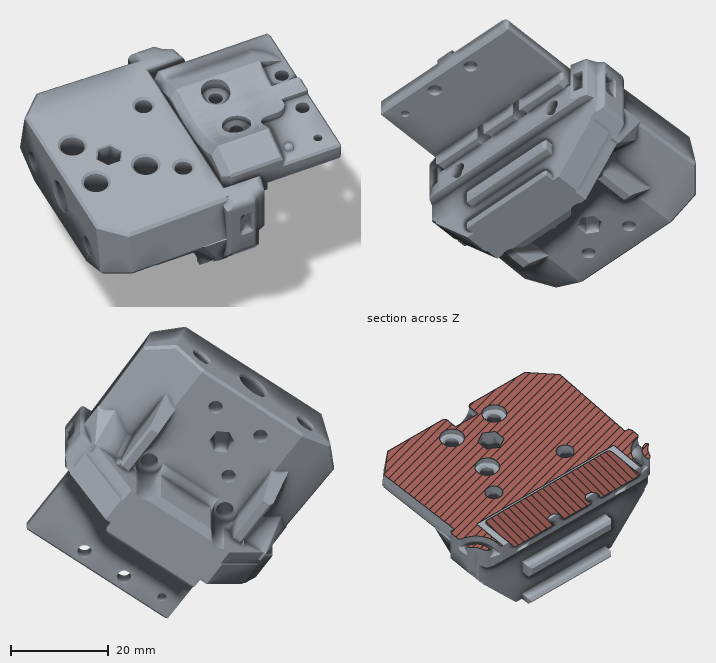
import cadquery as cq

WIDTH = 48.05
HALF_WIDTH = WIDTH / 2
LENGTH = 55.25
HOUSING_TOP = 27.9
EDGE_BREAK = 0.55

BLOCK_BOTTOM = 12.55
BLOCK_REAR = 27.6
BLOCK_TOP_HALF_WIDTH = 22.05
BLOCK_FLARE = 0.2
BLOCK_REAR_NARROWING = 0.65
BLOCK_CORNER = 5.1
KEEL_HALF_WIDTH = 12.55
KNEE_HEIGHT = 18.0

PLATE_FRONT = 25.7
PLATE_REAR = 34.2
PLATE_FOOT_HALF_WIDTH = 12.25
PLATE_WAIST_HEIGHT = 13.9
PLATE_WAIST_RADIUS = 1.95
SHOULDER_FRONT = 26.5
SHOULDER_BOTTOM = 11.25
SHOULDER_BEVEL_HEIGHT = 1.3
SHOULDER_BEVEL_LENGTH = 1.75
SHOULDER_CORNER_LENGTH = 0.8
SHOULDER_CORNER_WIDTH = 0.35
SHOULDER_ROUND = 1.3
SHOULDER_SIDE_REAR = 32.6
SHOULDER_MIDDLE = (22.75, 33.7)
SHOULDER_TIP = (21.75, 35.85)
FLANGE_REAR = 36.75
FLANGE_BOTTOM = 16.4

SIDE_PAD_FRONT = 28.7
SIDE_PAD_THICKNESS = 0.4
SIDE_PAD_HEIGHT = 10.7

BRACE_BOTTOM = 10.2
BRACE_TOP = 18.35
BRACE_TOP_HALF_WIDTH = 23.65
BRACE_BOTTOM_HALF_WIDTH = 21.45
BRACE_FACET = (
    cq.Vector(23.65, 21.45, 18.35),
    cq.Vector(21.0, 19.7, 16.4),
    cq.Vector(21.45, 25.7, 10.2),
)

GUSSET_BOTTOM = 7.45
GUSSET_OUTER = 15.35
GUSSET_TOP_INNER = 11.45
GUSSET_BOTTOM_INNER = 13.15
GUSSET_TIP = 15.0
GUSSET_TOP_FRONT = 7.75
GUSSET_ROOT_BEVEL = 0.85
GUSSET_TOP = 15.45

CENTRE_PAD_FRONT = 23.75
CENTRE_PAD_FOOT = 0.85
CENTRE_PAD_TOP_BEVEL = 1.65

STUB_HALF_WIDTH = 11.05
STUB_HEIGHTS = ((0, 1.45), (7.7, 10.45))

SLOT_HALF_WIDTH = 18.25
SLOT_FRONT = 28.35
SLOT_FLOOR = 21.1
SLOT_BEVEL = 0.35

REAR_SCREW_X = 9.5
REAR_SCREW_Y = 23.3
REAR_SCREW_DIAMETER = 3.6
REAR_SCREW_HEAD_DIAMETER = 5.6
COUNTERBORE_PLACES = ((5.65, 16.6), (-5.65, 5.4), (5.65, 5.4))
COUNTERBORE_FLOOR = 19.9
COUNTERBORE_DIAMETER = 5.0
COUNTERBORE_SCREW_DIAMETER = 2.95
SCREW_BEVEL = 0.35
HEXAGON_Y = 11.05
HEXAGON_DIAMETER = 5.35
HEXAGON_BEVEL = 0.35
FRONT_HOLE_X = 13.05
FRONT_HOLE_Z = 18.25
FRONT_HOLE_DIAMETER = 3.4
FRONT_SOCKET_Z = 20.45
FRONT_SOCKET_DIAMETER = 6.1
FRONT_SOCKET_DEPTH = 3.3
COUNTERSINK_DEPTH = 0.5

STRAP_CENTRE_X = 24.3
STRAP_CENTRE_Y = 35.35
STRAP_OUTER_RADIUS = 5.65
STRAP_INNER_RADIUS = 3.4
STRAP_BOTTOM = 18.9
STRAP_TOP = 24.0
STRAP_MOUTH_BEVEL = 0.45
STRAP_MOUTH_RADIUS = 0.85

SLIDER_HALF_WIDTH = 17.75
SLIDER_FRONT = 28.7
SLIDER_BOTTOM = 24.1
SLIDER_TOP = 32.3
SLIDER_BEVEL = 1.55
SLIDER_EDGE_BREAK = 0.45
SLIDER_SIDE_ROUND_HEIGHT = 1.4
SLIDER_SIDE_ROUND_WIDTH = 1.8
SLIDER_SIDE_RADIUS = 1.65
TONGUE_REAR = 38.65
TONGUE_BEVEL = 1.0
PAD_HEIGHT = 27.8
RAMP_FOOT_X = -14.85
RAMP_START_X = -13.75
RAMP_START_HEIGHT = 28.0
RIDGE_HEIGHT = 30.25
RIDGE_LEFT_X = -8.55
RIDGE_RIGHT_X = -6.75
RAMP_END_CENTRE_X = -7.2
RAMP_END_CENTRE_Y = 46.7
RAMP_END_RADIUS = 7.8
RAMP_END_RISE = 3.35
BOWL_BOTTOM_X = 0.55
BOWL_HEIGHT = 28.9
HUMP_LEFT_X = 11.05
HUMP_RIGHT_X = 11.75
HUMP_REAR = 42.0
HUMP_EDGE_HEIGHT = 29.85
STRIP_LEFT_X = -2.1
STRIP_RIGHT_X = 1.95
PAD_FRONT = 49.0
PAD_FRONT_LENGTH = 0.85
PAD_OUTER_RADIUS = 2.8
PAD_INNER_RADIUS = 1.9
SLIDER_SCREW_X = 4.95
SLIDER_SCREW_DIAMETER = 2.95
SLIDER_REAR_SCREW_Y = 52.35
SLIDER_FRONT_SCREW_Y = 37.45
SLIDER_HEAD_DIAMETER = 6.0
SLIDER_HEAD_FLOOR = 27.75
PIN_HOLE_DIAMETER = 1.8
PIN_HOLE_X = 13.9
PIN_HOLE_Y = 51.6
BUMP_RADIUS = 1.05
BUMP_Y = 45.0


def box(x0, x1, y0, y1, z0, z1):
    """Axis-aligned box between two opposite corners."""
    return cq.Workplane("XY").box(x1 - x0, y1 - y0, z1 - z0, centered=False).translate((x0, y0, z0))


def side_prism(points, x0, x1):
    """Prism with a (Y, Z) outline that runs from x0 to x1."""
    return cq.Workplane("YZ", origin=(x0, 0, 0)).polyline(points).close().extrude(x1 - x0)


def front_prism(points, y0, y1):
    """Prism with an (X, Z) outline that runs from y0 to y1."""
    return cq.Workplane("XZ", origin=(0, y1, 0)).polyline(points).close().extrude(y1 - y0)


def both_sides(right_half):
    """Outline closed by mirroring its +X half."""
    return right_half + [(-x, v) for x, v in reversed(right_half)]


def mirrored(shape):
    """The shape and its copy mirrored about X = 0."""
    return shape.union(shape.mirror("YZ"))


def bore(x, y, bottom, top, diameter, mouth_depth=0):
    """Upright hole, with a 45 degree countersink of the given depth at its top."""
    hole = cq.Workplane("XY", origin=(x, y, bottom)).circle(diameter / 2).extrude(top - bottom)
    if mouth_depth:
        radius = diameter / 2
        start = cq.Vector(x, y, top - mouth_depth)
        cone = cq.Solid.makeCone(radius, radius + mouth_depth, mouth_depth, pnt=start)
        hole = hole.union(cq.Workplane(cone))
    return hole


def front_bore(x, z, diameter, depth):
    """Hole into the front face, with a 45 degree countersink at its mouth."""
    hole = cq.Workplane("XZ", origin=(x, 0, z)).circle(diameter / 2).extrude(-depth)
    radius = diameter / 2
    cone = cq.Solid.makeCone(
        radius + COUNTERSINK_DEPTH, radius, COUNTERSINK_DEPTH, pnt=cq.Vector(x, 0, z), dir=cq.Vector(0, 1, 0)
    )
    return hole.union(cq.Workplane(cone))


def block_plan(z):
    """Outline of the flared block at height z."""
    half_width = BLOCK_TOP_HALF_WIDTH + BLOCK_FLARE * (HOUSING_TOP - z)
    return both_sides([
        (half_width - BLOCK_CORNER, 0),
        (half_width, BLOCK_CORNER),
        (half_width - BLOCK_REAR_NARROWING, BLOCK_REAR),
    ])


def front_block():
    flared = (
        cq.Workplane("XY", origin=(0, 0, BLOCK_BOTTOM)).polyline(block_plan(BLOCK_BOTTOM)).close()
        .workplane(offset=HOUSING_TOP - BLOCK_BOTTOM).polyline(block_plan(HOUSING_TOP)).close()
        .loft(ruled=True)
    )
    slope = (KNEE_HEIGHT - BLOCK_BOTTOM) / (HALF_WIDTH - KEEL_HALF_WIDTH)
    reach = WIDTH
    profile = both_sides([
        (KEEL_HALF_WIDTH, BLOCK_BOTTOM),
        (reach, BLOCK_BOTTOM + slope * (reach - KEEL_HALF_WIDTH)),
        (reach, HOUSING_TOP),
    ])
    block = flared.intersect(front_prism(profile, 0, BLOCK_REAR))
    block = block.faces(">Z").edges("not >Y").chamfer(EDGE_BREAK)
    lower_rim = block.edges("not (|Y or >Y)").filter(lambda edge: edge.Center().z < KNEE_HEIGHT)
    return lower_rim.chamfer(EDGE_BREAK)


def plate_foot_edge(z):
    """Half width of the plate's sloping side at height z."""
    run = HALF_WIDTH - PLATE_FOOT_HALF_WIDTH
    return PLATE_FOOT_HALF_WIDTH + run * z / PLATE_WAIST_HEIGHT


def rear_plate():
    profile = both_sides([
        (PLATE_FOOT_HALF_WIDTH, 0),
        (HALF_WIDTH, PLATE_WAIST_HEIGHT),
        (HALF_WIDTH, HOUSING_TOP),
    ])
    silhouette = front_prism(profile, PLATE_FRONT, FLANGE_REAR)
    for x in (-HALF_WIDTH, HALF_WIDTH):
        waist = cq.selectors.NearestToPointSelector((x, PLATE_REAR, PLATE_WAIST_HEIGHT))
        silhouette = silhouette.edges(waist).fillet(PLATE_WAIST_RADIUS)
    plan = both_sides([
        (HALF_WIDTH - SHOULDER_CORNER_WIDTH, PLATE_FRONT),
        (HALF_WIDTH - SHOULDER_CORNER_WIDTH, SHOULDER_FRONT),
        (HALF_WIDTH, SHOULDER_FRONT + SHOULDER_CORNER_LENGTH),
        (HALF_WIDTH, SHOULDER_SIDE_REAR),
        SHOULDER_MIDDLE,
        SHOULDER_TIP,
        (SLOT_HALF_WIDTH, FLANGE_REAR),
    ])

    def is_rear_corner(edge):
        return SLOT_FRONT < edge.Center().y < FLANGE_REAR - EDGE_BREAK

    def is_behind_bevel(edge):
        return edge.Center().y > SLOT_FRONT

    outline = cq.Workplane("XY").polyline(plan).close().extrude(HOUSING_TOP)
    outline = outline.edges("|Z").filter(is_rear_corner).fillet(EDGE_BREAK)
    outline = outline.faces(">Z").edges().filter(is_behind_bevel).fillet(SHOULDER_ROUND)
    side = [
        (PLATE_FRONT, 0), (PLATE_REAR, 0), (PLATE_REAR, FLANGE_BOTTOM),
        (FLANGE_REAR - EDGE_BREAK, FLANGE_BOTTOM), (FLANGE_REAR, FLANGE_BOTTOM + EDGE_BREAK),
        (FLANGE_REAR, HOUSING_TOP),
        (SHOULDER_FRONT + SHOULDER_BEVEL_LENGTH, HOUSING_TOP),
        (SHOULDER_FRONT, HOUSING_TOP - SHOULDER_BEVEL_HEIGHT),
        (SHOULDER_FRONT, SHOULDER_BOTTOM), (PLATE_FRONT, SHOULDER_BOTTOM),
    ]
    return silhouette.intersect(outline).intersect(side_prism(side, -HALF_WIDTH, HALF_WIDTH))


def top_deck():
    """Fills the bevel of the shoulders where the block meets the plate."""
    half_width = BLOCK_TOP_HALF_WIDTH - BLOCK_REAR_NARROWING - EDGE_BREAK
    return box(-half_width, half_width, SHOULDER_FRONT, SLOT_FRONT, SLOT_FLOOR, HOUSING_TOP)


def side_pads():
    profile = [
        (PLATE_FOOT_HALF_WIDTH, 0),
        (PLATE_FOOT_HALF_WIDTH + SIDE_PAD_THICKNESS, 0),
        (plate_foot_edge(SIDE_PAD_HEIGHT) + SIDE_PAD_THICKNESS, SIDE_PAD_HEIGHT),
        (plate_foot_edge(SIDE_PAD_HEIGHT), SIDE_PAD_HEIGHT),
    ]
    return mirrored(front_prism(profile, SIDE_PAD_FRONT, PLATE_REAR))


def underside_brace():
    """45 degree brace whose ends are cut by a flat facet."""
    drop = BRACE_TOP - BRACE_BOTTOM
    side = [
        (PLATE_FRONT - drop, BRACE_TOP), (PLATE_FRONT, BRACE_BOTTOM),
        (BLOCK_REAR, BRACE_BOTTOM), (BLOCK_REAR, BRACE_TOP),
    ]
    profile = [
        (0, BRACE_BOTTOM), (BRACE_BOTTOM_HALF_WIDTH, BRACE_BOTTOM),
        (BRACE_TOP_HALF_WIDTH, BRACE_TOP), (0, BRACE_TOP),
    ]
    half = side_prism(side, 0, HALF_WIDTH).intersect(front_prism(profile, 0, BLOCK_REAR))
    upper, front, lower = BRACE_FACET
    outward = (front - upper).cross(lower - upper)
    facet = cq.Workplane(cq.Plane(origin=upper, xDir=lower - upper, normal=outward))
    return mirrored(half.cut(facet.rect(WIDTH, WIDTH).extrude(WIDTH)))


def gussets():
    side = [
        (GUSSET_TOP_FRONT, GUSSET_TOP), (GUSSET_TIP, GUSSET_BOTTOM),
        (PLATE_FRONT, GUSSET_BOTTOM), (PLATE_FRONT, GUSSET_TOP),
    ]
    profile = [
        (GUSSET_OUTER, GUSSET_TOP),
        (GUSSET_OUTER, GUSSET_BOTTOM + EDGE_BREAK),
        (GUSSET_OUTER - EDGE_BREAK, GUSSET_BOTTOM),
        (GUSSET_BOTTOM_INNER, GUSSET_BOTTOM),
        (GUSSET_TOP_INNER, GUSSET_TOP),
    ]
    return mirrored(side_prism(side, 0, HALF_WIDTH).intersect(front_prism(profile, 0, PLATE_FRONT)))


def gusset_roots():
    """Bevels that widen each gusset where it meets the plate and, above that, the brace."""
    def bevel(z, rise):
        corner = (GUSSET_OUTER, PLATE_FRONT, z)
        forward = (GUSSET_OUTER, PLATE_FRONT - GUSSET_ROOT_BEVEL, z)
        outward = (GUSSET_OUTER + GUSSET_ROOT_BEVEL, PLATE_FRONT, z)
        section = cq.Face.makeFromWires(cq.Wire.makePolygon([corner, forward, outward], close=True))
        return cq.Workplane(cq.Solid.extrudeLinear(section, cq.Vector(rise)))

    on_plate = bevel(GUSSET_BOTTOM, (0, 0, BRACE_BOTTOM - GUSSET_BOTTOM))
    brace_rise = GUSSET_TOP - BRACE_BOTTOM
    on_brace = bevel(BRACE_BOTTOM, (0, -brace_rise, brace_rise))
    return mirrored(on_plate.union(on_brace))


def centre_pad():
    """Pad that leans out to the block's underside, hollowed at both ends by the screw head bores."""
    bevel_start = BLOCK_BOTTOM - CENTRE_PAD_TOP_BEVEL
    side = [
        (PLATE_FRONT, 0), (CENTRE_PAD_FRONT, CENTRE_PAD_FOOT), (CENTRE_PAD_FRONT, bevel_start),
        (CENTRE_PAD_FRONT - CENTRE_PAD_TOP_BEVEL, BLOCK_BOTTOM), (PLATE_FRONT, BLOCK_BOTTOM),
    ]
    pad = side_prism(side, -REAR_SCREW_X, REAR_SCREW_X)
    for x in (-REAR_SCREW_X, REAR_SCREW_X):
        pad = pad.cut(bore(x, REAR_SCREW_Y, 0, BLOCK_BOTTOM, REAR_SCREW_HEAD_DIAMETER))
    front_corners = pad.edges("|Z").filter(lambda edge: edge.Center().y < CENTRE_PAD_FRONT + EDGE_BREAK / 2)
    return front_corners.chamfer(EDGE_BREAK)


def rear_stubs():
    stubs = cq.Workplane("XY")
    for bottom, top in STUB_HEIGHTS:
        stub = box(-STUB_HALF_WIDTH, STUB_HALF_WIDTH, PLATE_REAR, FLANGE_REAR, bottom, top)
        stubs = stubs.union(stub.faces(">Y").edges().chamfer(EDGE_BREAK))
    return stubs


def slider_slot():
    slot = box(-SLOT_HALF_WIDTH, SLOT_HALF_WIDTH, SLOT_FRONT, LENGTH, SLOT_FLOOR, HOUSING_TOP)
    mouth = (
        cq.Workplane("XY", origin=(0, 0, HOUSING_TOP))
        .rect(2 * (SLOT_HALF_WIDTH + SLOT_BEVEL), 2 * (LENGTH - SLOT_FRONT + SLOT_BEVEL))
        .extrude(-SLOT_BEVEL, taper=45)
        .translate((0, LENGTH, 0))
    )
    return slot.union(mouth)


def strap_passages():
    """Curved passage through each shoulder, from a bevelled mouth in the side out to the rear."""
    passage = (
        cq.Workplane("XY", origin=(STRAP_CENTRE_X, STRAP_CENTRE_Y, STRAP_BOTTOM))
        .circle(STRAP_OUTER_RADIUS)
        .circle(STRAP_INNER_RADIUS)
        .extrude(STRAP_TOP - STRAP_BOTTOM)
    )
    middle_y = STRAP_CENTRE_Y - (STRAP_OUTER_RADIUS + STRAP_INNER_RADIUS) / 2
    mouth_width = STRAP_OUTER_RADIUS - STRAP_INNER_RADIUS + 2 * STRAP_MOUTH_BEVEL
    mouth_height = STRAP_TOP - STRAP_BOTTOM + 2 * STRAP_MOUTH_BEVEL
    mouth = (
        cq.Workplane("YZ", origin=(HALF_WIDTH, middle_y, (STRAP_BOTTOM + STRAP_TOP) / 2))
        .sketch().rect(mouth_width, mouth_height).vertices().fillet(STRAP_MOUTH_RADIUS).finalize()
        .extrude(-STRAP_MOUTH_BEVEL, taper=45)
    )
    return mirrored(passage.union(mouth))


def hexagonal_hole():
    plane = cq.Workplane("XY", origin=(0, HEXAGON_Y, HOUSING_TOP)).transformed(rotate=(0, 0, 30))
    mouth = plane.polygon(6, HEXAGON_DIAMETER + 2 * HEXAGON_BEVEL).extrude(-HEXAGON_BEVEL, taper=45)
    return plane.polygon(6, HEXAGON_DIAMETER).extrude(-HOUSING_TOP).union(mouth)


def make_housing():
    body = front_block()
    additions = (
        rear_plate(), top_deck(), side_pads(), underside_brace(),
        gussets(), gusset_roots(), centre_pad(), rear_stubs(),
    )
    for part in additions:
        body = body.union(part)
    body = body.cut(slider_slot()).cut(strap_passages()).cut(hexagonal_hole())
    for x in (-REAR_SCREW_X, REAR_SCREW_X):
        body = body.cut(bore(x, REAR_SCREW_Y, 0, HOUSING_TOP, REAR_SCREW_DIAMETER, COUNTERSINK_DEPTH))
        body = body.cut(bore(x, REAR_SCREW_Y, 0, BLOCK_BOTTOM, REAR_SCREW_HEAD_DIAMETER))
    for x, y in COUNTERBORE_PLACES:
        body = body.cut(bore(x, y, 0, COUNTERBORE_FLOOR, COUNTERBORE_SCREW_DIAMETER, SCREW_BEVEL))
        body = body.cut(bore(x, y, COUNTERBORE_FLOOR, HOUSING_TOP, COUNTERBORE_DIAMETER, COUNTERSINK_DEPTH))
    for x in (-FRONT_HOLE_X, FRONT_HOLE_X):
        body = body.cut(front_bore(x, FRONT_HOLE_Z, FRONT_HOLE_DIAMETER, LENGTH))
    body = body.cut(front_bore(0, FRONT_SOCKET_Z, FRONT_SOCKET_DIAMETER, FRONT_SOCKET_DEPTH))
    return body


def slider_profile(y):
    """Cross-section of the slider, with a rounded left side, a ramp, a bowl and a hump."""
    return (
        cq.Workplane("XZ", origin=(0, y, 0))
        .moveTo(-SLIDER_HALF_WIDTH, SLIDER_BOTTOM)
        .lineTo(-SLIDER_HALF_WIDTH, PAD_HEIGHT - SLIDER_SIDE_ROUND_HEIGHT)
        .radiusArc((-SLIDER_HALF_WIDTH + SLIDER_SIDE_ROUND_WIDTH, PAD_HEIGHT), SLIDER_SIDE_RADIUS)
        .lineTo(RAMP_FOOT_X, PAD_HEIGHT)
        .tangentArcPoint((RAMP_START_X, RAMP_START_HEIGHT), relative=False)
        .lineTo(RIDGE_LEFT_X, RIDGE_HEIGHT)
        .lineTo(RIDGE_RIGHT_X, RIDGE_HEIGHT)
        .threePointArc((BOWL_BOTTOM_X, BOWL_HEIGHT), (HUMP_LEFT_X, SLIDER_TOP))
        .lineTo(HUMP_RIGHT_X, SLIDER_TOP)
        .lineTo(SLIDER_HALF_WIDTH, HUMP_EDGE_HEIGHT)
        .lineTo(SLIDER_HALF_WIDTH, SLIDER_BOTTOM)
        .close()
    )


def slider_tongue():
    """Foot under the front of the slider that rests on the slot floor."""
    top = SLIDER_BOTTOM + SLIDER_BEVEL
    tongue = box(-SLIDER_HALF_WIDTH, SLIDER_HALF_WIDTH, SLIDER_FRONT, TONGUE_REAR, SLOT_FLOOR, top)
    tongue = tongue.edges("|Z and <Y").chamfer(SLIDER_BEVEL)
    tongue = tongue.edges("|Y and <Z").chamfer(TONGUE_BEVEL)
    return tongue.edges("|Z and >Y").chamfer(SLIDER_EDGE_BREAK)


def right_pad_cut():
    front_x = STRIP_RIGHT_X + PAD_FRONT_LENGTH
    bend_x = front_x + PAD_OUTER_RADIUS
    return (
        cq.Workplane("XY", origin=(0, 0, PAD_HEIGHT))
        .moveTo(STRIP_RIGHT_X, LENGTH)
        .lineTo(STRIP_RIGHT_X, PAD_FRONT)
        .lineTo(front_x, PAD_FRONT)
        .radiusArc((bend_x, PAD_FRONT - PAD_OUTER_RADIUS), PAD_OUTER_RADIUS)
        .lineTo(bend_x, HUMP_REAR + PAD_INNER_RADIUS)
        .radiusArc((bend_x + PAD_INNER_RADIUS, HUMP_REAR), -PAD_INNER_RADIUS)
        .lineTo(SLIDER_HALF_WIDTH, HUMP_REAR)
        .lineTo(SLIDER_HALF_WIDTH, LENGTH)
        .close()
        .extrude(SLIDER_TOP - PAD_HEIGHT)
    )


def ramp_end_cut():
    """Takes the rear end of the ramp down to a conical slope."""
    end = box(RAMP_FOOT_X, RIDGE_LEFT_X, RAMP_END_CENTRE_Y, LENGTH, PAD_HEIGHT, SLIDER_TOP)
    centre = cq.Vector(RAMP_END_CENTRE_X, RAMP_END_CENTRE_Y, PAD_HEIGHT)
    return end.cut(cq.Workplane(cq.Solid.makeCone(RAMP_END_RADIUS, 0, RAMP_END_RISE, pnt=centre)))


def make_slider():
    bevel_start = SLIDER_FRONT + SLIDER_BEVEL
    body = slider_profile(LENGTH).extrude(LENGTH - bevel_start)
    body = body.union(slider_profile(bevel_start).extrude(SLIDER_BEVEL, taper=45))
    body = body.union(slider_tongue())
    body = body.cut(right_pad_cut())
    body = body.cut(box(RIDGE_LEFT_X, STRIP_LEFT_X, PAD_FRONT, LENGTH, PAD_HEIGHT, SLIDER_TOP))
    body = body.cut(ramp_end_cut())
    body = body.faces(">Y").edges().chamfer(SLIDER_EDGE_BREAK)
    for point in (
        (SLIDER_HALF_WIDTH, PIN_HOLE_Y, PAD_HEIGHT),
        (SLIDER_HALF_WIDTH, SLIDER_FRONT_SCREW_Y, HUMP_EDGE_HEIGHT),
        (PIN_HOLE_X, HUMP_REAR, SLIDER_TOP),
        (-SLIDER_SCREW_X, PAD_FRONT, RIDGE_HEIGHT),
    ):
        body = body.edges(cq.selectors.NearestToPointSelector(point)).chamfer(SLIDER_EDGE_BREAK)
    for x in (-SLIDER_SCREW_X, SLIDER_SCREW_X):
        for y in (SLIDER_FRONT_SCREW_Y, SLIDER_REAR_SCREW_Y):
            body = body.cut(bore(x, y, 0, SLIDER_TOP, SLIDER_SCREW_DIAMETER))
        head = bore(x, SLIDER_FRONT_SCREW_Y, SLIDER_HEAD_FLOOR, SLIDER_TOP, SLIDER_HEAD_DIAMETER)
        body = body.cut(head)
    body = body.cut(bore(PIN_HOLE_X, PIN_HOLE_Y, 0, SLIDER_TOP, PIN_HOLE_DIAMETER))
    bump = cq.Workplane("XY", origin=(PIN_HOLE_X, BUMP_Y, PAD_HEIGHT)).sphere(BUMP_RADIUS)
    return body.union(bump)


housing = make_housing()
slider = make_slider()
result = cq.Compound.makeCompound([housing.val(), slider.val()])